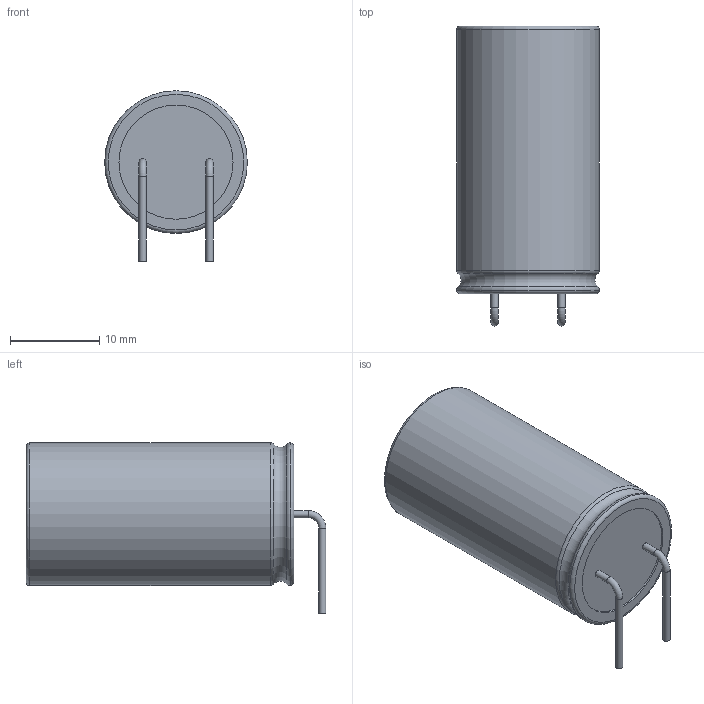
import cadquery as cq
import math

can_diameter = 16.0
can_length = 30.0
edge_fillet = 0.4
recess_diameter = 12.8
recess_depth = 0.2

groove_diameter = 15.0
groove_start = edge_fillet
groove_width = 2.23
shoulder_width = 0.4

lead_diameter = 0.8
lead_pitch = 7.5
bend_radius = 1.6
bend_start = 1.6
lead_drop = 3.1

cos_45 = math.cos(math.radians(45))
can_radius = can_diameter / 2
recess_radius = recess_diameter / 2
lead_y = 0.0
face_y = lead_y + bend_start + bend_radius
can_axis_x = lead_pitch / 2
can_axis_z = can_radius


def make_can():
    """Revolve the can half-section, drawn as (radius, distance from the lead end)."""
    groove_depth = (can_diameter - groove_diameter) / 2
    half_width = groove_width / 2
    groove_center = groove_start + half_width
    groove_end = groove_start + groove_width

    wall_angle = 2 * math.atan(groove_depth / half_width)
    shoulder_drop = shoulder_width * math.tan(wall_angle / 2)
    shoulder_radius = can_radius - shoulder_drop
    floor_radius = can_radius - groove_depth
    fillet_center = can_radius - edge_fillet
    fillet_reach = edge_fillet * cos_45

    profile = (
        cq.Workplane("XY")
        .moveTo(0, recess_depth)
        .lineTo(recess_radius, recess_depth)
        .lineTo(recess_radius, 0)
        .lineTo(fillet_center, 0)
        .threePointArc(
            (fillet_center + fillet_reach, edge_fillet - fillet_reach),
            (can_radius, edge_fillet),
        )
        .tangentArcPoint((shoulder_radius, groove_start + shoulder_width), relative=False)
        .threePointArc(
            (floor_radius, groove_center),
            (shoulder_radius, groove_end - shoulder_width),
        )
        .tangentArcPoint((can_radius, groove_end), relative=False)
        .lineTo(can_radius, can_length - edge_fillet)
        .threePointArc(
            (fillet_center + fillet_reach, can_length - edge_fillet + fillet_reach),
            (fillet_center, can_length),
        )
        .lineTo(0, can_length)
        .close()
    )
    can = profile.revolve(360, (0, 0, 0), (0, 1, 0))
    return can.translate((can_axis_x, face_y, can_axis_z))


def make_lead(x):
    """Round lead that leaves the recess floor toward -Y and bends down to -Z."""
    bend_top_y = lead_y + bend_radius
    bend_bottom_z = can_axis_z - bend_radius
    bend_reach = bend_radius * cos_45
    path = (
        cq.Workplane("YZ", origin=(x, 0, 0))
        .moveTo(face_y + recess_depth, can_axis_z)
        .lineTo(bend_top_y, can_axis_z)
        .threePointArc(
            (bend_top_y - bend_reach, bend_bottom_z + bend_reach),
            (lead_y, bend_bottom_z),
        )
        .lineTo(lead_y, -lead_drop)
    )
    section = cq.Workplane("XZ", origin=(x, face_y + recess_depth, can_axis_z))
    return section.circle(lead_diameter / 2).sweep(path)


result = make_can()
for lead_x in (0, lead_pitch):
    result = result.union(make_lead(lead_x))